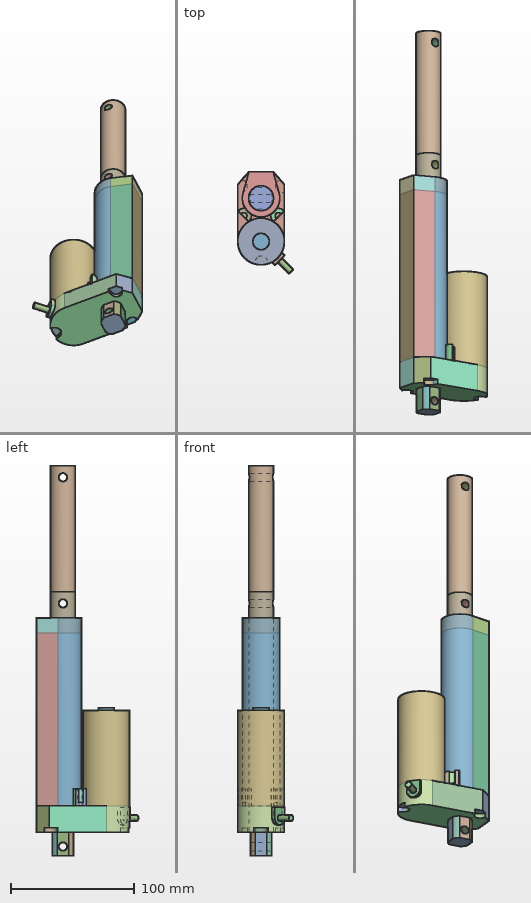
import cadquery as cq
import math

BASE_BOTTOM = 19.0
BASE_TOP = 40.8
MOTOR_TOP = 118.0
MOTOR_BOSS_TOP = 120.3
CAP_BOTTOM = 181.0
HOUSING_TOP = 193.0
ROD_SPLIT = 214.3
TOTAL_HEIGHT = 316.5

MOTOR_DIAMETER = 38.0
MOTOR_RADIUS = MOTOR_DIAMETER / 2
MOTOR_Y = -35.0
MOTOR_BOSS_DIAMETER = 13.3
BACK_Y = 21.5
BACK_HALF_WIDTH = 9.8
BASE_CHAMFER_Y = 11.0

HOUSING_RADIUS = 15.2
ROD_DIAMETER = 20.3
CROSS_HOLE_DIAMETER = 6.5
LOWER_ROD_HOLE_Z = 204.8
UPPER_ROD_HOLE_Z = 307.0

LUG_DIAMETER = 19.5
LUG_WIDTH = 17.5
LUG_HOLE_Z = 7.5

SCREW_BOSS_DIAMETER = 12.0
SCREW_BOSS_BORE = 5.0
SCREW_BOSS_X = 14.0
SCREW_BOSS_Y = -14.2
SCREW_BOSS_TOP = 54.5
SCREW_BORE_FLOOR = 43.7
SCREW_BOSS_CUT_OFFSET = 0.5

POCKET_MOUTH_WIDTH = 12.0
POCKET_WIDTH = 9.2
POCKET_FLARE_DEPTH = 4.5
POCKET_DEPTH = 7.5
POCKET_HEIGHT = 3.8
SIDE_POCKET_Y = 10.0

CABLE_ANGLE = -45.0
CABLE_DIAMETER = 5.0
CABLE_REACH = 34.5
CABLE_Z = 30.7
GLAND_WIDTH = 11.5
GLAND_REACH = 21.5
GLAND_TOP = 39.2


def cylinder(x, y, diameter, bottom, top):
    """Vertical cylinder between two heights."""
    return cq.Workplane("XY", origin=(x, y, bottom)).circle(diameter / 2).extrude(top - bottom)


def cross_hole(z):
    """Cutter for a pin hole along X through the rod axis."""
    profile = cq.Workplane("YZ", origin=(0, 0, z)).circle(CROSS_HOLE_DIAMETER / 2)
    return profile.extrude(ROD_DIAMETER, both=True)


def make_base():
    """Gearbox block: chamfered at the back, round around the motor axis."""
    return (
        cq.Workplane("XY", origin=(0, 0, BASE_BOTTOM))
        .moveTo(-BACK_HALF_WIDTH, BACK_Y)
        .lineTo(BACK_HALF_WIDTH, BACK_Y)
        .lineTo(MOTOR_RADIUS, BASE_CHAMFER_Y)
        .lineTo(MOTOR_RADIUS, MOTOR_Y)
        .threePointArc((0, MOTOR_Y - MOTOR_RADIUS), (-MOTOR_RADIUS, MOTOR_Y))
        .lineTo(-MOTOR_RADIUS, BASE_CHAMFER_Y)
        .close()
        .extrude(BASE_TOP - BASE_BOTTOM)
    )


def make_housing(bottom, top):
    """Rod housing: round front, with flanks tangent to it that narrow to a flat back."""
    corner_distance = math.hypot(BACK_HALF_WIDTH, BACK_Y)
    corner_angle = math.atan2(BACK_Y, BACK_HALF_WIDTH)
    tangent_angle = corner_angle - math.acos(HOUSING_RADIUS / corner_distance)
    tangent_x = HOUSING_RADIUS * math.cos(tangent_angle)
    tangent_y = HOUSING_RADIUS * math.sin(tangent_angle)
    return (
        cq.Workplane("XY", origin=(0, 0, bottom))
        .moveTo(-BACK_HALF_WIDTH, BACK_Y)
        .lineTo(BACK_HALF_WIDTH, BACK_Y)
        .lineTo(tangent_x, tangent_y)
        .threePointArc((0, -HOUSING_RADIUS), (-tangent_x, tangent_y))
        .close()
        .extrude(top - bottom)
    )


def make_lug():
    """Rear mounting lug: a round bar with four flats and a pin hole."""
    flats = cq.Workplane("XY").rect(LUG_WIDTH, LUG_WIDTH).extrude(BASE_BOTTOM)
    return cylinder(0, 0, LUG_DIAMETER, 0, BASE_BOTTOM).intersect(flats).cut(cross_hole(LUG_HOLE_Z))


def make_screw_boss(side):
    """Screw boss cut open just past its bore axis, with its flat side facing outward and toward the motor."""
    x = side * SCREW_BOSS_X
    outward_angle = -45 if side > 0 else -135
    boss = cylinder(x, SCREW_BOSS_Y, SCREW_BOSS_DIAMETER, BASE_TOP, SCREW_BOSS_TOP)
    bore = cylinder(x, SCREW_BOSS_Y, SCREW_BOSS_BORE, SCREW_BORE_FLOOR, SCREW_BOSS_TOP)
    open_side = (
        cq.Workplane("XY")
        .rect(SCREW_BOSS_DIAMETER, 2 * SCREW_BOSS_DIAMETER)
        .extrude(SCREW_BOSS_TOP)
        .translate((SCREW_BOSS_CUT_OFFSET + SCREW_BOSS_DIAMETER / 2, 0, 0))
        .rotate((0, 0, 0), (0, 0, 1), outward_angle)
        .translate((x, SCREW_BOSS_Y, 0))
    )
    return boss.cut(open_side).cut(bore)


def make_pocket(x, y, angle):
    """Cutter for a flared, round-ended pocket under the base; angle is its outward direction."""
    return (
        cq.Workplane("XY")
        .moveTo(0, POCKET_MOUTH_WIDTH / 2)
        .lineTo(-POCKET_FLARE_DEPTH, POCKET_WIDTH / 2)
        .threePointArc((-POCKET_DEPTH, 0), (-POCKET_FLARE_DEPTH, -POCKET_WIDTH / 2))
        .lineTo(0, -POCKET_MOUTH_WIDTH / 2)
        .close()
        .extrude(POCKET_HEIGHT)
        .rotate((0, 0, 0), (0, 0, 1), angle)
        .translate((x, y, BASE_BOTTOM))
    )


def make_cable_exit():
    """Gland with a round bottom and flat top, and the cable stub, radial to the motor."""
    direction = math.radians(CABLE_ANGLE)
    outward = cq.Plane(
        origin=(0, MOTOR_Y, CABLE_Z),
        xDir=(-math.sin(direction), math.cos(direction), 0),
        normal=(math.cos(direction), math.sin(direction), 0),
    )
    gland_radius = GLAND_WIDTH / 2
    gland_height = GLAND_TOP - CABLE_Z
    gland = (
        cq.Workplane(outward)
        .moveTo(-gland_radius, gland_height)
        .lineTo(-gland_radius, 0)
        .threePointArc((0, -gland_radius), (gland_radius, 0))
        .lineTo(gland_radius, gland_height)
        .close()
        .extrude(GLAND_REACH)
    )
    cable = cq.Workplane(outward).circle(CABLE_DIAMETER / 2).extrude(CABLE_REACH)
    return gland.union(cable)


def make_actuator():
    """Retracted actuator; the seams between its stacked sections are kept."""
    actuator = make_base()
    sections = [
        make_housing(BASE_TOP, CAP_BOTTOM),
        make_housing(CAP_BOTTOM, HOUSING_TOP),
        cylinder(0, MOTOR_Y, MOTOR_DIAMETER, BASE_TOP, MOTOR_TOP),
        cylinder(0, MOTOR_Y, MOTOR_BOSS_DIAMETER, MOTOR_TOP, MOTOR_BOSS_TOP),
        cylinder(0, 0, ROD_DIAMETER, HOUSING_TOP, ROD_SPLIT),
        make_lug(),
        make_screw_boss(-1),
        make_screw_boss(1),
        make_cable_exit(),
    ]
    for section in sections:
        actuator = actuator.union(section, clean=False)
    pockets = [
        make_pocket(-MOTOR_RADIUS, SIDE_POCKET_Y, 180),
        make_pocket(MOTOR_RADIUS, SIDE_POCKET_Y, 0),
        make_pocket(0, MOTOR_Y - MOTOR_RADIUS, -90),
    ]
    for pocket in pockets:
        actuator = actuator.cut(pocket, clean=False)
    return actuator.cut(cross_hole(LOWER_ROD_HOLE_Z), clean=False).solids()


def make_rod_extension():
    """Extended length of the rod, standing on the actuator's rod end."""
    rod = cylinder(0, 0, ROD_DIAMETER, ROD_SPLIT, TOTAL_HEIGHT)
    return rod.cut(cross_hole(UPPER_ROD_HOLE_Z))


actuator = make_actuator()
rod_extension = make_rod_extension()

result = cq.Compound.makeCompound([actuator.val(), rod_extension.val()])